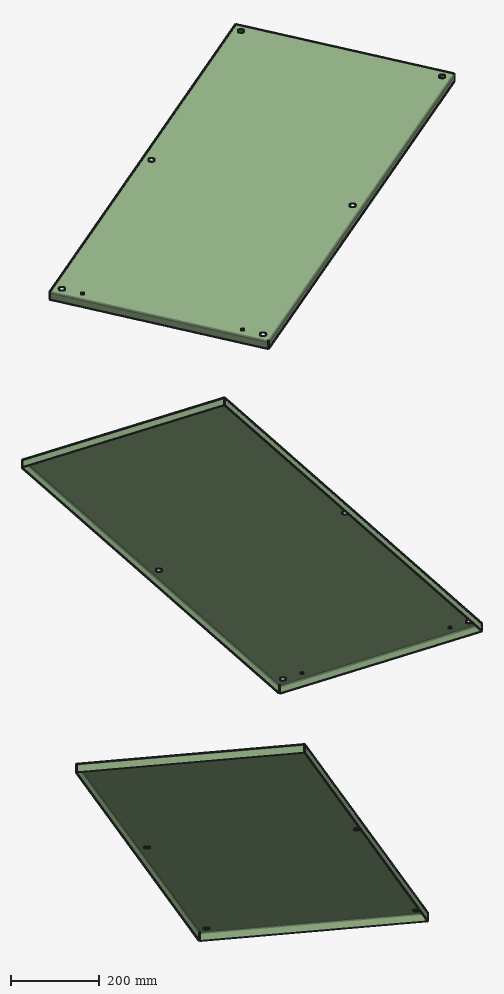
import cadquery as cq

width = 534.0
length = 1143.0
height = 22.0

sheet = 2.0
bend_radius = 3.0

mount_diameter = 15.0
mount_inset = 23.0
mount_x = width / 2 - mount_inset
mount_y = length / 2 - mount_inset

pilot_diameter = 7.9
pilot_x = 194.0
pilot_y = -mount_y


def rounded_bar(span, bar_height, radius, run):
    """Bar along Y standing on Z = 0, with both upper long edges rounded."""
    bar = cq.Workplane("XY").box(span, run, bar_height, centered=(True, True, False))
    return bar.edges("|Y and >Z").fillet(radius)


def folded_channel(span, run):
    """Sheet channel along Y: a flat web with a bend and a flange on each side."""
    outer = rounded_bar(span, height, bend_radius, run)
    inner = rounded_bar(span - 2 * sheet, height - sheet, bend_radius - sheet, run)
    return outer.cut(inner)


def through_holes(points, diameter):
    """Vertical cutters for round holes through the web."""
    return cq.Workplane("XY").pushPoints(points).circle(diameter / 2).extrude(height)


side_channel = folded_channel(width, length - 2 * bend_radius)
end_channel = folded_channel(length, width - 2 * bend_radius)
end_channel = end_channel.rotate((0, 0, 0), (0, 0, 1), 90)
panel = side_channel.union(end_channel)

mount_points = [(x, y) for x in (-mount_x, mount_x) for y in (-mount_y, 0, mount_y)]
pilot_points = [(x, pilot_y) for x in (-pilot_x, pilot_x)]

panel = panel.cut(through_holes(mount_points, mount_diameter))
result = panel.cut(through_holes(pilot_points, pilot_diameter))